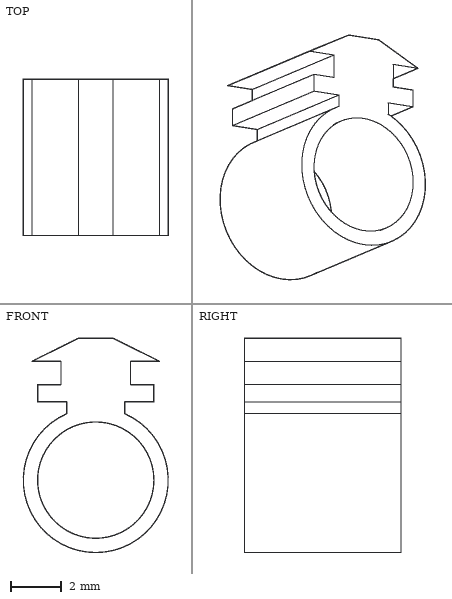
import cadquery as cq

length = 6.17
tube_outer_diameter = 5.715
tube_inner_diameter = 4.572

neck_width = 2.286
flange_width = tube_inner_diameter
web_width = 2.743
head_width = 5.03
head_flat_width = 1.372

overall_height = 8.45
head_height = 0.914
web_height = 0.914
flange_height = 0.686

tube_outer_radius = tube_outer_diameter / 2
head_top = overall_height - tube_outer_radius
head_bottom = head_top - head_height
flange_top = head_bottom - web_height
flange_bottom = flange_top - flange_height


def extrude_along_y(profile):
    """Extrude an XZ profile symmetrically about the XZ plane."""
    return profile.extrude(length / 2, both=True)


def make_tube_body():
    return extrude_along_y(cq.Workplane("XZ").circle(tube_outer_radius))


def make_rail():
    """T-slot rail with an arrow-shaped head, rooted at the tube axis."""
    right_side = [
        (neck_width / 2, 0),
        (neck_width / 2, flange_bottom),
        (flange_width / 2, flange_bottom),
        (flange_width / 2, flange_top),
        (web_width / 2, flange_top),
        (web_width / 2, head_bottom),
        (head_width / 2, head_bottom),
        (head_flat_width / 2, head_top),
    ]
    left_side = [(-x, z) for x, z in reversed(right_side)]
    return extrude_along_y(cq.Workplane("XZ").polyline(right_side + left_side).close())


def make_bore():
    return extrude_along_y(cq.Workplane("XZ").circle(tube_inner_diameter / 2))


result = make_tube_body().union(make_rail()).cut(make_bore())